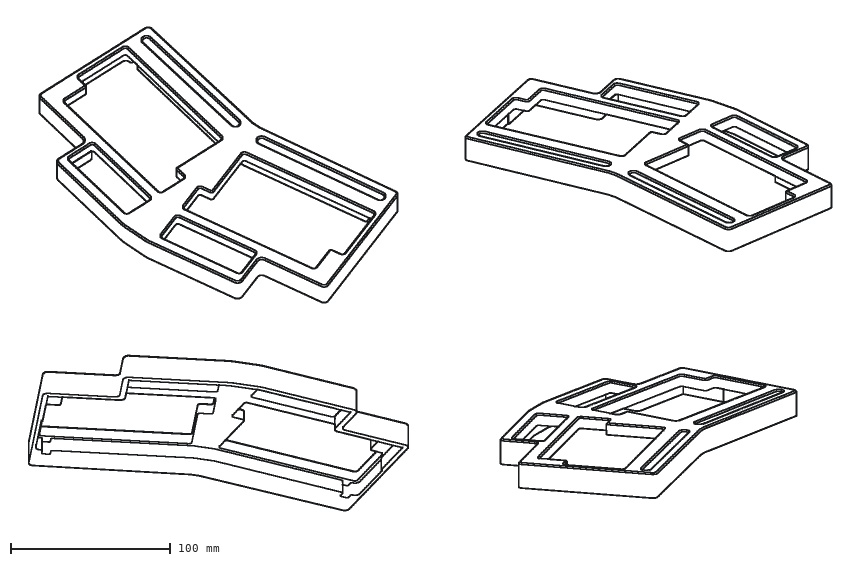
import cadquery as cq
import math

WIDTH = 237.5
DEPTH = 132.8
HEIGHT = 16.5
PLATE_THICKNESS = 7.5
EDGE_CHAMFER = 1.0
CORNER_RADIUS = 3.0
THUMB_CORNER_RADIUS = 3.5

HALF_TILT = 10.0
TILT_SIN = math.sin(math.radians(HALF_TILT))
TILT_COS = math.cos(math.radians(HALF_TILT))
REAR_TILT = 9.5
MAIN_FRONT = -42.0
THUMB_SIDE = 65.8
VALLEY_HALF_WIDTH = 2.8

CORNER_CENTER_X = WIDTH / 2 - CORNER_RADIUS
OUTER_SIDE = CORNER_RADIUS + (CORNER_CENTER_X + (MAIN_FRONT + CORNER_RADIUS) * TILT_SIN) / TILT_COS
CORNER_CENTER_Y = DEPTH / 2 - CORNER_RADIUS
REAR_CORNER = CORNER_RADIUS + (CORNER_CENTER_Y - (OUTER_SIDE - CORNER_RADIUS) * TILT_SIN) / TILT_COS

FRONT_Y = -DEPTH / 2
FRONT_HALF_WIDTH = 10.0
FRONT_BEND_RADIUS = 19.0
THUMB_FRONT = FRONT_Y * TILT_COS - FRONT_HALF_WIDTH * TILT_SIN

KEY_PITCH = 19.0
KEY_CLEARANCE = 0.4
OPENING_RADIUS = 1.7
ROW_KEYS = 5
ROWS = 3
THUMB_KEYS = 3
KEY_LEFT = 4.3
KEY_FRONT = -31.8
ROW_STAGGER = KEY_PITCH / 2
THUMB_KEY_FRONT = -59.1

SIDE_WALL = 2.4
LOWER_SIDE_WALL = 3.3
FRONT_WALL = 3.8
CAVITY_REAR = 28.0
CAVITY_JOG = -7.5
CAVITY_RADIUS = 3.3
CAVITY_FLAT_HALF_WIDTH = 7.0

RELIEF_START = 101.5
RELIEF_END = 106.9
RELIEF_DEPTH = 4.8
RELIEF_RADIUS = 1.05

GROOVE_START = 15.2
GROOVE_END = 107.0
GROOVE_CENTER = 40.0
GROOVE_FLOOR_WIDTH = 5.0

EDGE_REACH = 0.02


def turned(along, across, tilt=HALF_TILT):
    """Point of the right half, given along and across its key rows."""
    angle = math.radians(tilt)
    x = along * math.cos(angle) - across * math.sin(angle)
    y = along * math.sin(angle) + across * math.cos(angle)
    return x, y


def on_row_line_at_x(across, x):
    """Point at position x on the line parallel to the key rows."""
    return x, (across + x * TILT_SIN) / TILT_COS


def mirrored_prism(right_points, height):
    """Prism over the outline made of the right-hand points and their mirror image."""
    left_points = [(-x, y) for x, y in reversed(right_points)]
    return cq.Workplane("XY").polyline(right_points + left_points).close().extrude(height)


def fillet_uprights(solid, points, radius):
    """Round the vertical edges of both halves that stand on the given points."""
    for x, y in points:
        for side in (1, -1):
            box = cq.selectors.BoxSelector(
                (side * x - EDGE_REACH, y - EDGE_REACH, -HEIGHT),
                (side * x + EDGE_REACH, y + EDGE_REACH, 2 * HEIGHT),
            )
            solid = solid.edges("|Z").edges(box).fillet(radius)
    return solid


def body():
    """Outer block with a bend in the middle and a thumb section at the front."""
    front_bend = (FRONT_HALF_WIDTH, FRONT_Y)
    thumb_corner = turned(THUMB_SIDE, THUMB_FRONT)
    inner_corner = turned(THUMB_SIDE, MAIN_FRONT)
    front_corner = turned(OUTER_SIDE, MAIN_FRONT)
    rear_corner = turned(OUTER_SIDE, REAR_CORNER)
    rear_drop = (rear_corner[0] - VALLEY_HALF_WIDTH) * math.tan(math.radians(REAR_TILT))
    valley = (VALLEY_HALF_WIDTH, rear_corner[1] - rear_drop)
    outline = [front_bend, thumb_corner, inner_corner, front_corner, rear_corner, valley]
    block = mirrored_prism(outline, HEIGHT)
    block = fillet_uprights(block, [inner_corner, front_corner, rear_corner], CORNER_RADIUS)
    block = fillet_uprights(block, [thumb_corner], THUMB_CORNER_RADIUS)
    return fillet_uprights(block, [front_bend], FRONT_BEND_RADIUS)


def cavity():
    """Space under the plate, one hollow through both halves."""
    thumb_front = THUMB_FRONT + FRONT_WALL
    thumb_side = THUMB_SIDE - FRONT_WALL
    main_front = MAIN_FRONT + FRONT_WALL
    upper_side = OUTER_SIDE - SIDE_WALL
    lower_side = OUTER_SIDE - LOWER_SIDE_WALL
    rear_corner = turned(upper_side, CAVITY_REAR)
    relief = [
        turned(RELIEF_END, CAVITY_REAR),
        turned(RELIEF_END, CAVITY_REAR + RELIEF_DEPTH),
        turned(RELIEF_START, CAVITY_REAR + RELIEF_DEPTH),
        turned(RELIEF_START, CAVITY_REAR),
    ]
    inner_corner = turned(thumb_side, main_front)
    outline = [
        on_row_line_at_x(thumb_front, FRONT_HALF_WIDTH),
        turned(thumb_side, thumb_front),
        inner_corner,
        turned(lower_side, main_front),
        turned(lower_side, CAVITY_JOG),
        turned(upper_side, CAVITY_JOG),
        rear_corner,
        *relief,
        on_row_line_at_x(CAVITY_REAR, CAVITY_FLAT_HALF_WIDTH),
    ]
    hollow = mirrored_prism(outline, HEIGHT - PLATE_THICKNESS)
    hollow = fillet_uprights(hollow, [rear_corner, inner_corner], CAVITY_RADIUS)
    return fillet_uprights(hollow, relief, RELIEF_RADIUS)


def opening(points):
    """Through cutter with rounded corners for the right half."""
    outline = [turned(along, across) for along, across in points]
    cutter = cq.Workplane("XY").polyline(outline).close().extrude(HEIGHT)
    return cutter.edges("|Z").fillet(OPENING_RADIUS)


def main_opening():
    """Two rows of keys and a front row shifted by half a key."""
    left = KEY_LEFT - KEY_CLEARANCE
    right = KEY_LEFT + ROW_KEYS * KEY_PITCH + KEY_CLEARANCE
    front = KEY_FRONT - KEY_CLEARANCE
    rear = KEY_FRONT + ROWS * KEY_PITCH + KEY_CLEARANCE
    step = KEY_FRONT + KEY_PITCH
    return opening([
        (left, front),
        (right, front),
        (right, step - KEY_CLEARANCE),
        (right + ROW_STAGGER, step - KEY_CLEARANCE),
        (right + ROW_STAGGER, rear),
        (left + ROW_STAGGER, rear),
        (left + ROW_STAGGER, step + KEY_CLEARANCE),
        (left, step + KEY_CLEARANCE),
    ])


def thumb_opening():
    """One row of thumb keys."""
    left = KEY_LEFT - KEY_CLEARANCE
    right = KEY_LEFT + THUMB_KEYS * KEY_PITCH + KEY_CLEARANCE
    front = THUMB_KEY_FRONT - KEY_CLEARANCE
    rear = THUMB_KEY_FRONT + KEY_PITCH + KEY_CLEARANCE
    return opening([(left, front), (right, front), (right, rear), (left, rear)])


def groove():
    """Shallow round-ended groove of the right half with sloping sides, parallel to the rear edge."""
    x, y = turned((GROOVE_START + GROOVE_END) / 2, GROOVE_CENTER, REAR_TILT)
    return (
        cq.Workplane("XY", origin=(x, y, HEIGHT - EDGE_CHAMFER))
        .slot2D(GROOVE_END - GROOVE_START, GROOVE_FLOOR_WIDTH, REAR_TILT)
        .extrude(EDGE_CHAMFER, taper=-45)
    )


def cut_both_halves(solid, cutter):
    """Cut the right-hand cutter and its mirror image."""
    return solid.cut(cutter).cut(cutter.mirror("YZ"))


result = body().cut(cavity())
for cutter in (main_opening(), thumb_opening()):
    result = cut_both_halves(result, cutter)

result = result.faces(">Z").edges().chamfer(EDGE_CHAMFER)
result = cut_both_halves(result, groove())